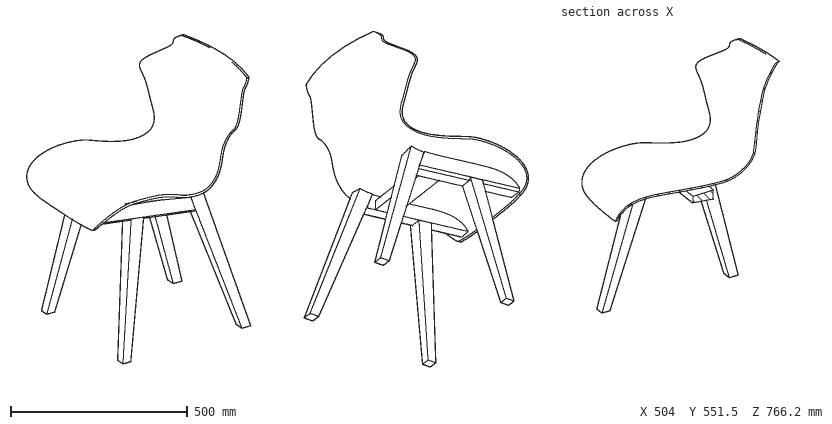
import cadquery as cq

SHELL_THICKNESS = 8.0
SHELL_HALF_STEPS = 6

SHELL_SECTIONS = [
    (268.0, 766.0, 172.0, 242.5, 766.0, 2.0),
    (250.0, 749.5, 183.0, 222.5, 744.0, 2.0),
    (230.0, 716.0, 219.5, 189.0, 709.0, 2.0),
    (218.0, 684.0, 252.0, 154.0, 670.5, 2.0),
    (209.5, 646.0, 228.0, 151.0, 640.5, 2.0),
    (199.5, 591.0, 189.5, 149.5, 581.5, 2.0),
    (192.0, 532.5, 172.0, 151.0, 526.0, 2.0),
    (186.5, 492.0, 176.5, 136.5, 492.0, 2.2),
    (163.0, 459.5, 192.5, 101.0, 471.0, 2.5),
    (116.0, 437.0, 207.0, 57.5, 468.0, 3.0),
    (49.0, 436.0, 217.0, 5.0, 477.0, 3.5),
    (-38.0, 445.0, 219.0, -62.0, 497.0, 4.0),
    (-126.0, 456.5, 218.0, -135.0, 502.0, 4.0),
    (-193.0, 459.5, 213.0, -190.0, 495.5, 3.5),
    (-240.0, 448.0, 207.0, -240.0, 474.0, 3.0),
    (-263.0, 430.0, 192.5, -266.0, 448.0, 3.0),
    (-275.5, 410.0, 153.5, -268.0, 410.0, 4.0),
]

RAIL_OUTER_X = 153.5
RAIL_WIDTH = 44.0
RAIL_FRONT_Y = -267.0
RAIL_REAR_Y = 153.5
RAIL_BOTTOM_Z = 397.0
RAIL_SLOPE = 0.12
RAIL_BEVEL = 8.0
TRIM_HEIGHT = 506.0

CROSS_RAIL_FRONT_Y = -15.0
CROSS_RAIL_DEPTH = 69.0
CROSS_RAIL_TOP_Z = 414.0

LEG_LEVEL_Z = 406.5
LEG_TOP_WIDTH = 44.0
LEG_TOP_OUTER_X = RAIL_OUTER_X

FRONT_FOOT_OUTER_X = 213.0
FRONT_FOOT_WIDTH = 28.5
FRONT_FOOT_Y = (-203.0, -176.5)
FRONT_LEG_TOP_Y = (-137.0, -94.0)

REAR_FOOT_OUTER_X = 195.0
REAR_FOOT_WIDTH = 31.0
REAR_FOOT_Y = (211.0, 241.0)
REAR_LEG_TOP_Y = (74.0, 117.0)
REAR_LEG_EXTENSION = 1.2


def section_points(centre_y, centre_z, half_width, edge_y, edge_z, exponent):
    """Points across the shell, curling from the centreline out to both edges."""
    points = []
    for step in range(-SHELL_HALF_STEPS, SHELL_HALF_STEPS + 1):
        across = step / SHELL_HALF_STEPS
        curl = abs(across) ** exponent
        y = centre_y + (edge_y - centre_y) * curl
        z = centre_z + (edge_z - centre_z) * curl
        points.append(cq.Vector(half_width * across, y, z))
    return points


def back_offset(index):
    """Vector through the shell thickness: square to the centreline, and level at the two end rims."""
    if index in (0, len(SHELL_SECTIONS) - 1):
        return cq.Vector(0, SHELL_THICKNESS, 0)
    before = SHELL_SECTIONS[index - 1]
    after = SHELL_SECTIONS[index + 1]
    along_y = after[0] - before[0]
    along_z = after[1] - before[1]
    return cq.Vector(0, -along_z, along_y).normalized() * SHELL_THICKNESS


def shell_section(index):
    """Closed cross-section of the shell: upper and lower curves joined at the side edges."""
    upper = section_points(*SHELL_SECTIONS[index])
    offset = back_offset(index)
    lower = [point + offset for point in upper]
    return cq.Wire.assembleEdges([
        cq.Edge.makeSpline(upper),
        cq.Edge.makeLine(upper[-1], lower[-1]),
        cq.Edge.makeSpline(lower[::-1]),
        cq.Edge.makeLine(lower[0], upper[0]),
    ])


def make_shell():
    """Backrest and seat as one smooth loft."""
    return cq.Solid.makeLoft([shell_section(index) for index in range(len(SHELL_SECTIONS))])


def lowest_piece(shape):
    """The lowest of the separate pieces left by a cut."""
    return min(shape.Solids(), key=lambda piece: piece.Center().z)


def below_shell(blank, shell):
    """The part of a blank that lies under the shell."""
    return lowest_piece(blank.cut(shell))


def rail_bottom(y):
    """Height of the rail's outer lower edge at a given y."""
    return RAIL_BOTTOM_Z - RAIL_SLOPE * y


def rail_section(y):
    """Closed cross-section of the left rail at a given y."""
    outer_x = -RAIL_OUTER_X
    inner_x = outer_x + RAIL_WIDTH
    bottom = rail_bottom(y)
    corners = [
        (outer_x, TRIM_HEIGHT),
        (outer_x, bottom),
        (outer_x + RAIL_BEVEL, bottom - RAIL_BEVEL),
        (inner_x, bottom - RAIL_BEVEL),
        (inner_x, TRIM_HEIGHT),
    ]
    return cq.Wire.makePolygon([cq.Vector(x, y, z) for x, z in corners], close=True)


def make_behind_leg_space():
    """Full-width space behind the front face plane of the rear legs."""
    foot_y = REAR_FOOT_Y[0]
    rise_slope = (REAR_LEG_TOP_Y[0] - foot_y) / LEG_LEVEL_Z
    top_y = foot_y + rise_slope * TRIM_HEIGHT
    outline = [(foot_y, 0), (top_y, TRIM_HEIGHT), (foot_y, TRIM_HEIGHT)]
    return cq.Workplane("YZ").polyline(outline).close().extrude(RAIL_OUTER_X, both=True).val()


def make_left_rail(shell):
    """Sloping side rail that carries the seat and butts against the rear leg."""
    ends = [rail_section(RAIL_FRONT_Y), rail_section(RAIL_REAR_Y)]
    blank = cq.Solid.makeLoft(ends, True)
    return below_shell(blank.cut(make_behind_leg_space()), shell)


def make_cross_rail():
    """Bar between the side rails, with its underside sloping like theirs."""
    rear_y = CROSS_RAIL_FRONT_Y + CROSS_RAIL_DEPTH
    outline = [
        (CROSS_RAIL_FRONT_Y, CROSS_RAIL_TOP_Z),
        (CROSS_RAIL_FRONT_Y, rail_bottom(CROSS_RAIL_FRONT_Y) - RAIL_BEVEL),
        (rear_y, rail_bottom(rear_y) - RAIL_BEVEL),
        (rear_y, CROSS_RAIL_TOP_Z),
    ]
    half_length = RAIL_OUTER_X - RAIL_WIDTH
    return cq.Workplane("YZ").polyline(outline).close().extrude(half_length, both=True).val()


def leg_section(outer_x, width, y_range, z):
    """Horizontal rectangular cross-section of a left leg."""
    front_y, rear_y = y_range
    inner_x = outer_x + width
    corners = [(outer_x, front_y), (inner_x, front_y), (inner_x, rear_y), (outer_x, rear_y)]
    return cq.Wire.makePolygon([cq.Vector(x, y, z) for x, y in corners], close=True)


def make_leg_blank(foot_outer_x, foot_width, foot_y, top_y, extension):
    """Tapered, splayed left leg, carried on past the under-seat level by the extension factor."""
    def extended(foot, top):
        return foot + (top - foot) * extension

    outer_x = extended(-foot_outer_x, -LEG_TOP_OUTER_X)
    width = extended(foot_width, LEG_TOP_WIDTH)
    y_range = [extended(foot, top) for foot, top in zip(foot_y, top_y)]
    foot = leg_section(-foot_outer_x, foot_width, foot_y, 0)
    top = leg_section(outer_x, width, y_range, LEG_LEVEL_Z * extension)
    return cq.Solid.makeLoft([foot, top], True)


shell = make_shell()

rear_blank = make_leg_blank(
    REAR_FOOT_OUTER_X, REAR_FOOT_WIDTH, REAR_FOOT_Y, REAR_LEG_TOP_Y, REAR_LEG_EXTENSION
)
left_rear_leg = below_shell(rear_blank, shell)
left_rail = make_left_rail(shell)

front_top_z = rail_bottom(FRONT_LEG_TOP_Y[0])
front_blank = make_leg_blank(
    FRONT_FOOT_OUTER_X, FRONT_FOOT_WIDTH, FRONT_FOOT_Y, FRONT_LEG_TOP_Y, front_top_z / LEG_LEVEL_Z
)
left_front_leg = lowest_piece(front_blank.cut(left_rail))

cross_rail = make_cross_rail()

bodies = [shell, cross_rail]
for left_body in (left_front_leg, left_rear_leg, left_rail):
    bodies.append(left_body)
    bodies.append(left_body.mirror("YZ"))

result = cq.Compound.makeCompound([solid for body in bodies for solid in body.Solids()])